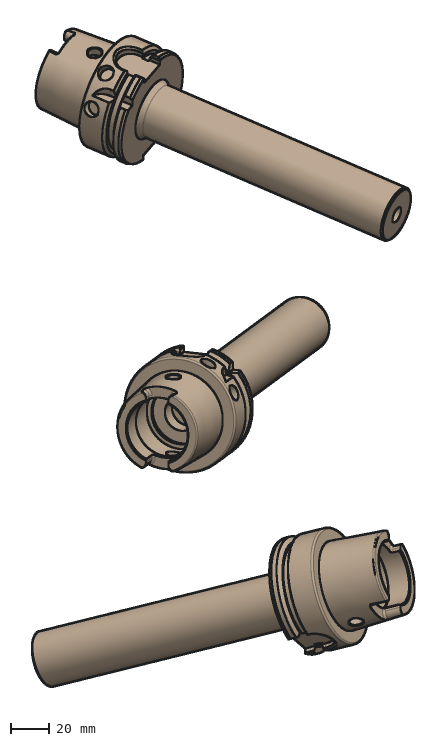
import cadquery as cq
import math

TAPER_LENGTH = 32.0
FLANGE_WIDTH = 26.0
SHANK_END = 176.0

TAPER_FACE_RADIUS = 24.32
TAPER_SLOPE = 1 / 20
TAPER_TIP_FILLET = 0.8

FLANGE_RADIUS = 31.5
FLANGE_FRONT_FILLET = 1.0
FLANGE_BACK_BEVEL_LENGTH = 1.6
FLANGE_BACK_BEVEL_DROP = 0.6
GROOVE_RADIUS = 27.4
GROOVE_START = 15.75
GROOVE_END = 19.5
GROOVE_MOUTH_START = 14.5
GROOVE_MOUTH_END = 21.3
GROOVE_FLANK_ANGLE = 60.0

SHANK_RADIUS = 15.0
NECK_RADIUS = 4.0
NECK_LENGTH = 3.4
SHANK_CHAMFER = 0.8

BORE_RADIUS = 17.0
BORE_MOUTH_CHAMFER = 0.6
CLAMP_SHOULDER_X = -19.2
CLAMP_RADIUS = 18.5
CLAMP_SHOULDER_ANGLE = 60.0
CLAMP_SHOULDER_LENGTH = (CLAMP_RADIUS - BORE_RADIUS) / math.tan(math.radians(CLAMP_SHOULDER_ANGLE))
RECESS_RADIUS = 15.9
RECESS_END_X = 2.0
TUBE_SEAT_RADIUS = 9.1
TUBE_SEAT_END_X = 12.0
COOLANT_RADIUS = 4.3

DRIVE_SLOT_WIDTH = 12.54
DRIVE_SLOT_TOP_DEPTH = 5.7
DRIVE_SLOT_BOTTOM_DEPTH = 10.0
DRIVE_SLOT_FLOOR_FILLET = 1.2
DRIVE_SLOT_EDGE_RADIUS = 3.4
DRIVE_SLOT_EDGE_HEIGHT = 21.0

ACCESS_HOLE_X = -9.2
ACCESS_HOLE_DIAMETER = 7.4
ACCESS_HOLE_CHAMFER = 0.4

KEYWAY_FLOOR = 26.5
KEYWAY_TOP_WIDTH = 15.6
KEYWAY_BOTTOM_WIDTH = 17.6
KEYWAY_START = 5.0
KEYWAY_CHAMFER = 1.2

NOTCH_OFFSET = 19.8
NOTCH_CORNER_X = 12.3
NOTCH_CORNER_RADIUS = 9.0

CHIP_HOLE_X = 6.0
CHIP_HOLE_DIAMETER = 8.4
CHIP_HOLE_DEPTH = 5.0
CHIP_HOLE_SPREAD = 19.0
NOTCH_DIRECTION = 45.0

SELECT_MARGIN = 1.0


def make_body():
    """Turned outside profile, revolved about X."""
    flank = math.tan(math.radians(GROOVE_FLANK_ANGLE))
    front_break = FLANGE_RADIUS - (GROOVE_START - GROOVE_MOUTH_START) * flank
    back_break = FLANGE_RADIUS - (GROOVE_MOUTH_END - GROOVE_END) * flank
    tip_radius = TAPER_FACE_RADIUS - TAPER_LENGTH * TAPER_SLOPE
    neck_base = SHANK_RADIUS + NECK_RADIUS - math.sqrt(NECK_RADIUS**2 - NECK_LENGTH**2)
    body = (
        cq.Workplane("XY")
        .moveTo(-TAPER_LENGTH, 0)
        .lineTo(-TAPER_LENGTH, tip_radius)
        .lineTo(0, TAPER_FACE_RADIUS)
        .lineTo(0, FLANGE_RADIUS - FLANGE_FRONT_FILLET)
        .radiusArc((FLANGE_FRONT_FILLET, FLANGE_RADIUS), FLANGE_FRONT_FILLET)
        .lineTo(GROOVE_MOUTH_START, FLANGE_RADIUS)
        .lineTo(GROOVE_START, front_break)
        .lineTo(GROOVE_START, GROOVE_RADIUS)
        .lineTo(GROOVE_END, GROOVE_RADIUS)
        .lineTo(GROOVE_END, back_break)
        .lineTo(GROOVE_MOUTH_END, FLANGE_RADIUS)
        .lineTo(FLANGE_WIDTH - FLANGE_BACK_BEVEL_LENGTH, FLANGE_RADIUS)
        .lineTo(FLANGE_WIDTH, FLANGE_RADIUS - FLANGE_BACK_BEVEL_DROP)
        .lineTo(FLANGE_WIDTH, neck_base)
        .radiusArc((FLANGE_WIDTH + NECK_LENGTH, SHANK_RADIUS), -NECK_RADIUS)
        .lineTo(SHANK_END - SHANK_CHAMFER, SHANK_RADIUS)
        .lineTo(SHANK_END, SHANK_RADIUS - SHANK_CHAMFER)
        .lineTo(SHANK_END, 0)
        .close()
        .revolve(360, (0, 0, 0), (1, 0, 0))
    )
    return body.faces("<X").edges().fillet(TAPER_TIP_FILLET)


def make_bore():
    """Stepped bore: mouth, clamping relief, tube seat and coolant passage."""
    profile = [
        (-TAPER_LENGTH, 0),
        (-TAPER_LENGTH, BORE_RADIUS + BORE_MOUTH_CHAMFER),
        (-TAPER_LENGTH + BORE_MOUTH_CHAMFER, BORE_RADIUS),
        (CLAMP_SHOULDER_X, BORE_RADIUS),
        (CLAMP_SHOULDER_X + CLAMP_SHOULDER_LENGTH, CLAMP_RADIUS),
        (0, CLAMP_RADIUS),
        (0, RECESS_RADIUS),
        (RECESS_END_X, RECESS_RADIUS),
        (RECESS_END_X, TUBE_SEAT_RADIUS),
        (TUBE_SEAT_END_X, TUBE_SEAT_RADIUS),
        (TUBE_SEAT_END_X, COOLANT_RADIUS),
        (SHANK_END, COOLANT_RADIUS),
        (SHANK_END, 0),
    ]
    return cq.Workplane("XY").polyline(profile).close().revolve(360, (0, 0, 0), (1, 0, 0))


def make_drive_slot(depth):
    """Slot across the +Z side of the taper tip, flaring out over rounded outer edges."""
    half_width = DRIVE_SLOT_WIDTH / 2
    edge_top = DRIVE_SLOT_EDGE_HEIGHT
    flare_start = edge_top - DRIVE_SLOT_EDGE_RADIUS
    flare_half_width = half_width + DRIVE_SLOT_EDGE_RADIUS
    slot = (
        cq.Workplane("YZ", origin=(-TAPER_LENGTH, 0, 0))
        .moveTo(-half_width, 0)
        .lineTo(half_width, 0)
        .lineTo(half_width, flare_start)
        .radiusArc((flare_half_width, edge_top), DRIVE_SLOT_EDGE_RADIUS)
        .lineTo(FLANGE_RADIUS, edge_top)
        .lineTo(FLANGE_RADIUS, FLANGE_RADIUS)
        .lineTo(-FLANGE_RADIUS, FLANGE_RADIUS)
        .lineTo(-FLANGE_RADIUS, edge_top)
        .lineTo(-flare_half_width, edge_top)
        .radiusArc((-half_width, flare_start), DRIVE_SLOT_EDGE_RADIUS)
        .close()
        .extrude(depth)
    )
    walls = cq.selectors.BoxSelector(
        (-TAPER_LENGTH, -FLANGE_RADIUS + SELECT_MARGIN, SELECT_MARGIN),
        (0, FLANGE_RADIUS - SELECT_MARGIN, FLANGE_RADIUS - SELECT_MARGIN),
    )
    return slot.faces(">X").edges(walls).fillet(DRIVE_SLOT_FLOOR_FILLET)


def cut_access_hole(body):
    """Hole through both taper walls, chamfered where it breaks the taper surface."""
    hole = (
        cq.Workplane("XY")
        .center(ACCESS_HOLE_X, 0)
        .circle(ACCESS_HOLE_DIAMETER / 2)
        .extrude(TAPER_FACE_RADIUS, both=True)
    )
    body = body.cut(hole)
    half_box = ACCESS_HOLE_DIAMETER
    for side in (1, -1):
        mouth = cq.selectors.BoxSelector(
            (ACCESS_HOLE_X - half_box, -half_box, side * CLAMP_RADIUS),
            (ACCESS_HOLE_X + half_box, half_box, side * FLANGE_RADIUS),
            boundingbox=True,
        )
        body = body.edges(mouth).chamfer(ACCESS_HOLE_CHAMFER)
    return body


def make_keyway(width):
    """Round-ended keyway on the +Z side with an even chamfer along its mouth."""
    centre_x = KEYWAY_START + width / 2
    slot = (
        cq.Workplane("XY")
        .workplane(offset=KEYWAY_FLOOR)
        .moveTo(FLANGE_WIDTH, width / 2)
        .lineTo(centre_x, width / 2)
        .threePointArc((KEYWAY_START, 0), (centre_x, -width / 2))
        .lineTo(FLANGE_WIDTH, -width / 2)
        .close()
        .extrude(FLANGE_RADIUS)
    )
    disc = cq.Workplane("YZ").circle(FLANGE_RADIUS).extrude(FLANGE_WIDTH)
    mouth = cq.selectors.BoxSelector(
        (KEYWAY_START - SELECT_MARGIN, -width, KEYWAY_FLOOR + SELECT_MARGIN),
        (FLANGE_WIDTH - SELECT_MARGIN, width, FLANGE_RADIUS + SELECT_MARGIN),
    )
    chamfered = disc.cut(slot).edges(mouth).edges("not |Z").chamfer(KEYWAY_CHAMFER)
    return disc.cut(chamfered)


def make_notch():
    """Step at the -Y, +Z corner of the flange with a rounded blind end."""
    reach = FLANGE_RADIUS
    blind_x = NOTCH_CORNER_X - NOTCH_CORNER_RADIUS
    return (
        cq.Workplane("XY")
        .workplane(offset=NOTCH_OFFSET)
        .moveTo(FLANGE_WIDTH, -NOTCH_OFFSET)
        .lineTo(NOTCH_CORNER_X, -NOTCH_OFFSET)
        .radiusArc((blind_x, -NOTCH_OFFSET - NOTCH_CORNER_RADIUS), -NOTCH_CORNER_RADIUS)
        .lineTo(blind_x, -reach)
        .lineTo(FLANGE_WIDTH, -reach)
        .close()
        .extrude(reach - NOTCH_OFFSET)
    )


def make_chip_hole(angle):
    """Flat-bottomed radial hole, angle measured from -Y towards +Z."""
    return (
        cq.Workplane("XZ", origin=(CHIP_HOLE_X, 0, 0))
        .workplane(offset=FLANGE_RADIUS - CHIP_HOLE_DEPTH)
        .circle(CHIP_HOLE_DIAMETER / 2)
        .extrude(2 * CHIP_HOLE_DEPTH)
        .rotate((0, 0, 0), (1, 0, 0), -angle)
    )


def turn_over(cutter):
    """Move a cutter from the +Z side to the -Z side."""
    return cutter.rotate((0, 0, 0), (1, 0, 0), 180)


result = make_body().cut(make_bore())
result = result.cut(make_drive_slot(DRIVE_SLOT_TOP_DEPTH))
result = result.cut(turn_over(make_drive_slot(DRIVE_SLOT_BOTTOM_DEPTH)))
result = cut_access_hole(result)
result = result.cut(make_keyway(KEYWAY_TOP_WIDTH))
result = result.cut(turn_over(make_keyway(KEYWAY_BOTTOM_WIDTH)))
result = result.cut(make_notch())
for side in (-1, 1):
    result = result.cut(make_chip_hole(NOTCH_DIRECTION + side * CHIP_HOLE_SPREAD))